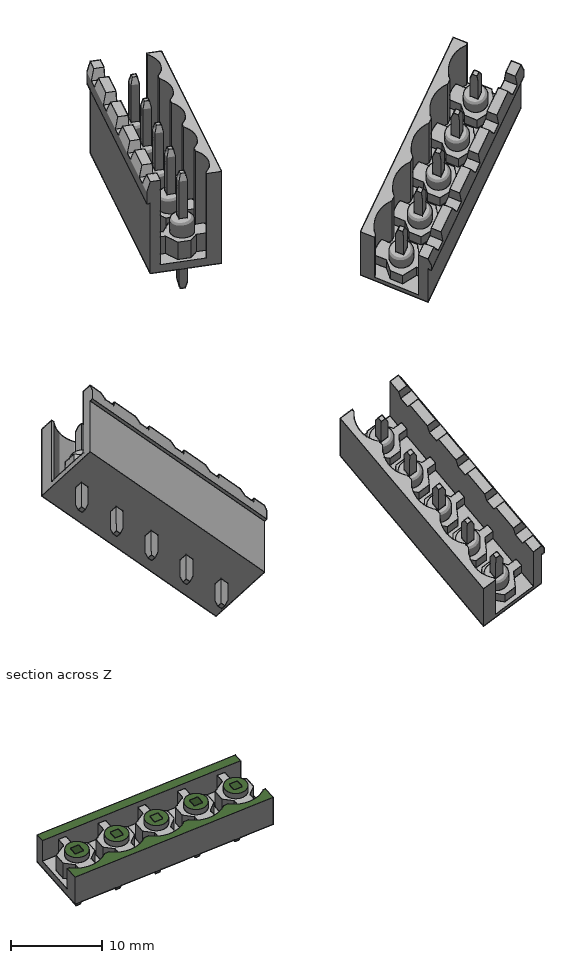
import cadquery as cq


PIN_COUNT = 5
PITCH = 5.08
PIN_POSITIONS = [(i - (PIN_COUNT - 1) / 2) * PITCH for i in range(PIN_COUNT)]

LENGTH = PIN_COUNT * PITCH
HEIGHT = 12.0
FLOOR_THICKNESS = 1.0
BACK_OUTER_Y = 3.8
BACK_INNER_Y = 2.1
FRONT_INNER_Y = -3.15
FRONT_OUTER_Y = -4.32

LIP_DEPTH = 0.38
LIP_BOTTOM_Z = 9.15
LIP_BEVEL_HEIGHT = 1.32

NOTCH_TOP_WIDTH = 1.98
NOTCH_BOTTOM_WIDTH = 1.25

SCALLOP_WIDTH = 4.47
SCALLOP_DEPTH = 0.86

PEDESTAL_TOP_Z = 3.25
PEDESTAL_WIDTH = 4.06
PEDESTAL_BACK_Y = 0.43
PEDESTAL_FRONT_Y = -1.05
BACK_RIB_WIDTH = 2.03
BACK_RIB_START_Y = 1.35
FRONT_RIB_WIDTH = 0.97
FRONT_RIB_START_Y = -2.03
POST_DIAMETER = 2.75
POST_TOP_Z = 5.25
POST_FILLET = 0.48

PIN_WIDTH = 1.0
PIN_BOTTOM_Z = -4.01
PIN_LENGTH = 15.0
TIP_WIDTH = 0.55
TIP_LENGTH = 0.95


def trough():
    """U-shaped section with the latch lip, extruded along the pin row."""
    lip_y = FRONT_OUTER_Y - LIP_DEPTH
    section = [
        (BACK_OUTER_Y, 0),
        (BACK_OUTER_Y, HEIGHT),
        (BACK_INNER_Y, HEIGHT),
        (BACK_INNER_Y, FLOOR_THICKNESS),
        (FRONT_INNER_Y, FLOOR_THICKNESS),
        (FRONT_INNER_Y, HEIGHT),
        (FRONT_OUTER_Y, HEIGHT),
        (lip_y, HEIGHT - LIP_BEVEL_HEIGHT),
        (lip_y, LIP_BOTTOM_Z),
        (FRONT_OUTER_Y, LIP_BOTTOM_Z),
        (FRONT_OUTER_Y, 0),
    ]
    return cq.Workplane("YZ").polyline(section).close().extrude(LENGTH / 2, both=True)


def scallop(x):
    """Arc-shaped recess in the back wall, from the floor to the top."""
    return (
        cq.Workplane("XY", origin=(x, BACK_INNER_Y, FLOOR_THICKNESS))
        .moveTo(-SCALLOP_WIDTH / 2, 0)
        .threePointArc((0, SCALLOP_DEPTH), (SCALLOP_WIDTH / 2, 0))
        .close()
        .extrude(HEIGHT - FLOOR_THICKNESS)
    )


def notch(x):
    """Tapered notch through the front wall, wider at the top."""
    bottom_z = HEIGHT - LIP_BEVEL_HEIGHT
    outline = [
        (-NOTCH_TOP_WIDTH / 2, HEIGHT),
        (NOTCH_TOP_WIDTH / 2, HEIGHT),
        (NOTCH_BOTTOM_WIDTH / 2, bottom_z),
        (-NOTCH_BOTTOM_WIDTH / 2, bottom_z),
    ]
    depth = FRONT_INNER_Y - FRONT_OUTER_Y + LIP_DEPTH
    return cq.Workplane("XZ", origin=(x, FRONT_INNER_Y, 0)).polyline(outline).close().extrude(depth)


def pedestal(x):
    """Raised pad that runs into both walls through a back rib and a front rib."""
    right_side = [
        (BACK_RIB_WIDTH / 2, BACK_INNER_Y + SCALLOP_DEPTH),
        (BACK_RIB_WIDTH / 2, BACK_RIB_START_Y),
        (PEDESTAL_WIDTH / 2, PEDESTAL_BACK_Y),
        (PEDESTAL_WIDTH / 2, PEDESTAL_FRONT_Y),
        (FRONT_RIB_WIDTH / 2, FRONT_RIB_START_Y),
        (FRONT_RIB_WIDTH / 2, FRONT_INNER_Y),
    ]
    left_side = [(-px, py) for px, py in reversed(right_side)]
    return (
        cq.Workplane("XY", origin=(x, 0, FLOOR_THICKNESS))
        .polyline(right_side + left_side)
        .close()
        .extrude(PEDESTAL_TOP_Z - FLOOR_THICKNESS)
    )


def post(x):
    """Round post on the pedestal with a rounded top edge."""
    return (
        cq.Workplane("XY", origin=(x, 0, PEDESTAL_TOP_Z))
        .circle(POST_DIAMETER / 2)
        .extrude(POST_TOP_Z - PEDESTAL_TOP_Z)
        .faces(">Z")
        .edges()
        .fillet(POST_FILLET)
    )


def pin_hole(x):
    """Square hole through the floor, pedestal and post that fits the pin."""
    return cq.Workplane("XY", origin=(x, 0, 0)).rect(PIN_WIDTH, PIN_WIDTH).extrude(POST_TOP_Z)


def make_housing():
    body = trough()
    for x in PIN_POSITIONS:
        body = body.cut(scallop(x)).cut(notch(x))
        body = body.union(pedestal(x)).union(post(x))
        body = body.cut(pin_hole(x))
    return body


def make_pin(x):
    """Square pin with a tapered tip at each end."""
    shank_bottom_z = PIN_BOTTOM_Z + TIP_LENGTH
    shank_length = PIN_LENGTH - 2 * TIP_LENGTH
    shank = (
        cq.Workplane("XY", origin=(x, 0, shank_bottom_z))
        .rect(PIN_WIDTH, PIN_WIDTH)
        .extrude(shank_length)
    )
    top_tip = (
        shank.faces(">Z")
        .workplane(centerOption="CenterOfMass")
        .rect(PIN_WIDTH, PIN_WIDTH)
        .workplane(offset=TIP_LENGTH)
        .rect(TIP_WIDTH, TIP_WIDTH)
        .loft(combine=False)
    )
    mid_z = shank_bottom_z + shank_length / 2
    bottom_tip = top_tip.mirror("XY", (0, 0, mid_z))
    return shank.union(top_tip).union(bottom_tip)


housing = make_housing()
pins = [make_pin(x) for x in PIN_POSITIONS]

result = cq.Compound.makeCompound([housing.solids().val(), *[pin.solids().val() for pin in pins]])